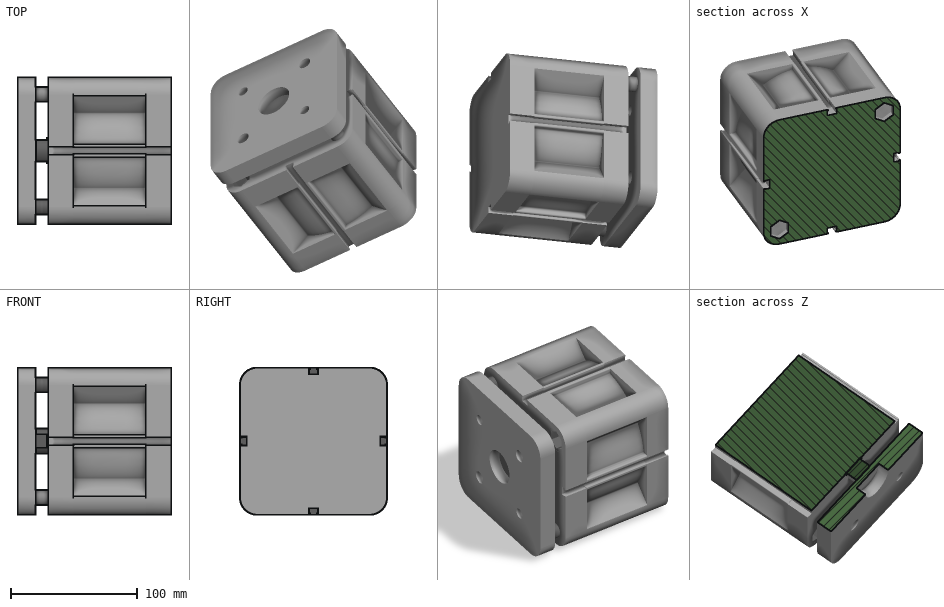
import cadquery as cq
import math

LENGTH = 121.0
WIDTH = 116.0
PLATE_THICKNESS = 14.0
GAP = 9.9
CAP_THICKNESS = 20.0
CORNER_RADIUS = 13.7

HALF_WIDTH = WIDTH / 2
HOUSING_FRONT = PLATE_THICKNESS + GAP
BARREL_FRONT = HOUSING_FRONT + CAP_THICKNESS
BARREL_LENGTH = LENGTH - CAP_THICKNESS - BARREL_FRONT
CORNER_OFFSET = HALF_WIDTH - CORNER_RADIUS

PLATE_BORE_DIAMETER = 28.3
PLATE_BORE_DEPTH = 9.2
PLATE_HOLE_OFFSET = 28.3
SMALL_HOLE_DIAMETER = 8.5
LARGE_HOLE_DIAMETER = 10.3

BARREL_RADIUS = 53.2
POST_WIDTH = 20.7
POST_ROOT_FILLET = 1.0

RAIL_INNER = 2.5
RAIL_OUTER = 5.2
RAIL_TOP_FILLET = 1.1
RAIL_LIP_FILLET = 0.5
RAIL_ROOT_FILLET = 1.1

SLOT_OPENING = 6.0
SLOT_CHAMBER_WIDTH = 7.5
BARREL_CHAMBER_WIDTH = 6.5
SLOT_DEPTH = 5.3
SLOT_LIP = 1.5

SCREW_HEAD_DIAMETER = 20.3
SCREW_HEAD_RECESS = 0.1
SOCKET_ACROSS_FLATS = 14.5
SOCKET_DEPTH = 9.0

PISTON_ROD_DIAMETER = 20.1
ROD_ACROSS_FLATS = 17.1
ROD_COLLAR = 1.0
ROD_END_CHAMFER = 0.5
GUIDE_ROD_DIAMETER = 12.0


def section(x):
    """Work plane at x, local axes along Y and Z, facing +X."""
    return cq.Workplane("YZ", origin=(x, 0, 0))


def rounded_block(x, length):
    """Square block with rounded corners, starting at x."""
    block = section(x).rect(WIDTH, WIDTH).extrude(length)
    return block.edges("|X").fillet(CORNER_RADIUS)


def make_plate():
    plate = rounded_block(0, PLATE_THICKNESS)
    bore = section(0).circle(PLATE_BORE_DIAMETER / 2).extrude(PLATE_BORE_DEPTH)
    plate = plate.cut(bore)
    for diameter, side in ((SMALL_HOLE_DIAMETER, 1), (LARGE_HOLE_DIAMETER, -1)):
        spots = [(sign * PLATE_HOLE_OFFSET, sign * side * PLATE_HOLE_OFFSET) for sign in (1, -1)]
        holes = section(0).pushPoints(spots).circle(diameter / 2).extrude(PLATE_THICKNESS)
        plate = plate.cut(holes)
    return plate


def quarter_turns(shape):
    """The shape at each of the four sides, turned about the stroke axis."""
    return [shape.rotate((0, 0, 0), (1, 0, 0), 90 * turn) for turn in range(4)]


def fillet_mirrored_edges(barrel, near_y, near_z, radius):
    """Fillet the eight lengthwise edges at (near_y, near_z) and its mirror images."""
    middle = BARREL_FRONT + BARREL_LENGTH / 2
    for y, z in ((near_y, near_z), (near_z, near_y)):
        for side_y in (1, -1):
            for side_z in (1, -1):
                spot = (middle, side_y * y, side_z * z)
                nearest = cq.selectors.NearestToPointSelector(spot)
                barrel = barrel.edges("|X").edges(nearest).fillet(radius)
    return barrel


def make_corner_post():
    """Web from the axis to the corner at +Y +Z, ending in the corner rounding."""
    reach = math.sqrt(2) * CORNER_OFFSET
    end = reach + CORNER_RADIUS
    profile = section(BARREL_FRONT)
    web = profile.center(reach / 2, 0).rect(reach, POST_WIDTH).extrude(BARREL_LENGTH)
    rounding = profile.center(reach, 0).circle(CORNER_RADIUS).extrude(BARREL_LENGTH)
    band = profile.center(end / 2, 0).rect(end, POST_WIDTH).extrude(BARREL_LENGTH)
    post = web.union(rounding.intersect(band))
    return post.rotate((0, 0, 0), (1, 0, 0), 45)


def make_rail_block():
    """Block at the top of the barrel that the slot later parts into two rails."""
    block = (
        section(BARREL_FRONT)
        .center(0, HALF_WIDTH / 2)
        .rect(2 * RAIL_OUTER, HALF_WIDTH)
        .extrude(BARREL_LENGTH)
    )
    return block.edges("|X and >Z").fillet(RAIL_TOP_FILLET)


def make_slot(x, length, opening, chamber):
    """T-shaped slot cutter in the top side."""
    neck = (
        section(x)
        .center(0, HALF_WIDTH - SLOT_DEPTH / 2)
        .rect(opening, SLOT_DEPTH)
        .extrude(length)
    )
    chamber_height = SLOT_DEPTH - SLOT_LIP
    pocket = (
        section(x)
        .center(0, HALF_WIDTH - SLOT_LIP - chamber_height / 2)
        .rect(chamber, chamber_height)
        .extrude(length)
    )
    return neck.union(pocket)


def make_barrel():
    barrel = section(BARREL_FRONT).circle(BARREL_RADIUS).extrude(BARREL_LENGTH)
    for post in quarter_turns(make_corner_post()):
        barrel = barrel.union(post)
    half_post = POST_WIDTH / 2
    root = math.sqrt(BARREL_RADIUS**2 - half_post**2)
    root_y = (root - half_post) / math.sqrt(2)
    root_z = (root + half_post) / math.sqrt(2)
    barrel = fillet_mirrored_edges(barrel, root_y, root_z, POST_ROOT_FILLET)

    for rails in quarter_turns(make_rail_block()):
        barrel = barrel.union(rails)
    rail_root = math.sqrt(BARREL_RADIUS**2 - RAIL_OUTER**2)
    barrel = fillet_mirrored_edges(barrel, RAIL_OUTER, rail_root, RAIL_ROOT_FILLET)

    slot = make_slot(BARREL_FRONT, BARREL_LENGTH, 2 * RAIL_INNER, BARREL_CHAMBER_WIDTH)
    for cutter in quarter_turns(slot):
        barrel = barrel.cut(cutter)
    return fillet_mirrored_edges(barrel, RAIL_INNER, HALF_WIDTH, RAIL_LIP_FILLET)


def make_cap(x):
    """End cap of the housing, starting at x."""
    cap = rounded_block(x, CAP_THICKNESS)
    for cutter in quarter_turns(make_slot(x, CAP_THICKNESS, SLOT_OPENING, SLOT_CHAMBER_WIDTH)):
        cap = cap.cut(cutter)
    return cap


def cut_cap_screws(cap):
    """Form the two screw heads with hexagon sockets in the face of the front cap."""
    for side in (1, -1):
        seat = section(HOUSING_FRONT).center(side * CORNER_OFFSET, -side * CORNER_OFFSET)
        recess = seat.circle(SCREW_HEAD_DIAMETER / 2).extrude(SCREW_HEAD_RECESS)
        socket_diameter = SOCKET_ACROSS_FLATS / math.cos(math.radians(30))
        socket = (
            seat.transformed(rotate=(0, 0, 30))
            .polygon(6, socket_diameter)
            .extrude(SOCKET_DEPTH)
        )
        cap = cap.cut(recess).cut(socket)
    return cap


def make_housing():
    front_cap = cut_cap_screws(make_cap(HOUSING_FRONT))
    rear_cap = make_cap(LENGTH - CAP_THICKNESS)
    return make_barrel().union(front_cap, clean=False).union(rear_cap, clean=False)


def make_piston_rod():
    rod = section(PLATE_THICKNESS).circle(PISTON_ROD_DIAMETER / 2).extrude(GAP)
    rod = rod.faces("<X").chamfer(ROD_END_CHAMFER)
    flats = (
        section(PLATE_THICKNESS)
        .rect(ROD_ACROSS_FLATS, PISTON_ROD_DIAMETER)
        .extrude(GAP - ROD_COLLAR)
    )
    collar = section(HOUSING_FRONT - ROD_COLLAR).circle(PISTON_ROD_DIAMETER / 2).extrude(ROD_COLLAR)
    return rod.intersect(flats.union(collar))


def make_guide_rod(side):
    return (
        section(PLATE_THICKNESS)
        .center(side * CORNER_OFFSET, side * CORNER_OFFSET)
        .circle(GUIDE_ROD_DIAMETER / 2)
        .extrude(GAP)
    )


plate = make_plate()
housing = make_housing()
piston_rod = make_piston_rod()
guide_rods = [make_guide_rod(side) for side in (1, -1)]
result = cq.Compound.makeCompound(
    [plate.val(), housing.val(), piston_rod.val(), *[rod.val() for rod in guide_rods]]
)